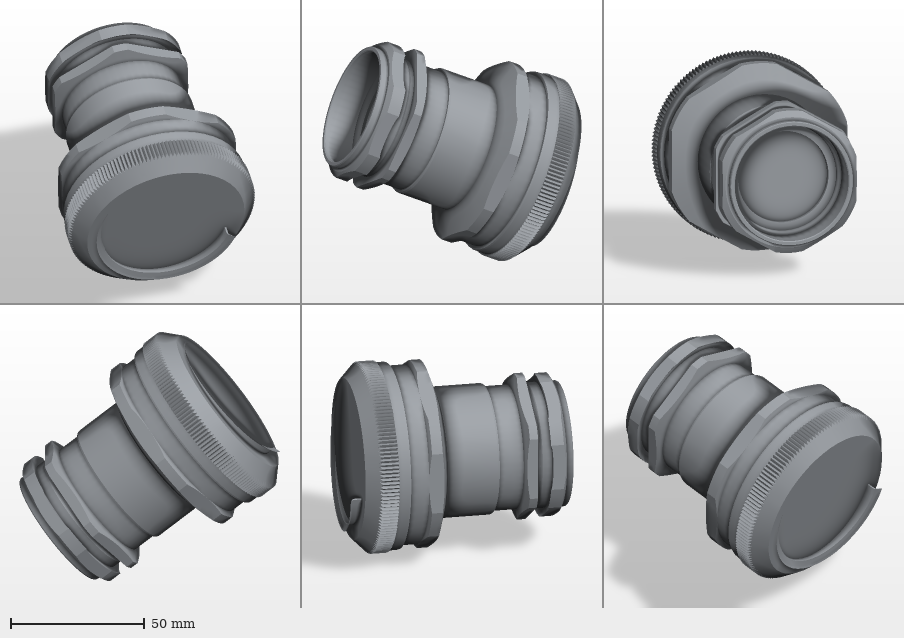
import cadquery as cq
import math


entry_dia = 47.5
entry_end = 11.8
mouth_edge = 0.4
entry_edge = 0.8
neck_dia = 46.6
neck_end = 14.1
tube_dia = 47.0
sleeve_start = 28.5
sleeve_edge = 0.7
sleeve_edge_height = 0.35
sleeve_dia = 49.6
sleeve_end = 48.5

small_flats = 51.7
front_nut_corner_dia = 54.7
front_nut_face_dia = 50.0
front_nut_start = 2.85
front_nut_bevel = 1.4
front_nut_end = 9.1
front_nut_dish = 0.9
dish_mid_rise = 0.3
dish_mid_dia = 53.3
lock_nut_corner_dia = 56.9
lock_nut_start = neck_end
lock_nut_bevel_start = 17.3
lock_nut_end = 19.1
large_flats = 67.8
large_corner_dia = 71.7
large_bevel_start = 52.5
large_bevel_end = 56.65
large_hex_end = 57.7

body_dia = large_flats
collar_start = 64.9
collar_edge = 0.6
collar_edge_height = 0.2
collar_dia = 71.0
knurl_start = 69.6
knurl_dia = 72.5
knurl_root_dia = 70.35
knurl_count = 150
knurl_phase = 0.5
cone_clearance = 0.9
cap_end = 81.5
cap_end_dia = 61.2

bore_dia = 44.0
mouth_bevel = 0.35
shoulder_depth = 11.9
shoulder_dia = 40.95
floor_depth = 14.0
recess_dia = 35.0
recess_depth = 16.55

total_length = 86.2
lip_wall_dia = 49.6
lip_wall = 0.7
lip_flare_dia = 54.3
lip_flare_height = 1.3
lip_kink_depth = 1.1
lip_bend_depth = 2.15
lip_foot_depth = 6.0
lip_pitch = 8.5
lip_end_angle = -18.5
lip_sweep_angle = 195.0


def turned(points):
    """Revolve an outline of (x, radius) points about the X axis."""
    return cq.Workplane("XY").polyline(points).close().revolve(360, (0, 0), (1, 0))


def hex_bar(flats, start, end):
    """Hexagonal bar along X with one pair of flats facing +Y and -Y."""
    corner_dia = flats / math.cos(math.pi / 6)
    bar = cq.Workplane("YZ").workplane(offset=start).polygon(6, corner_dia).extrude(end - start)
    return bar.rotate((0, 0, 0), (1, 0, 0), 30)


def make_barrel():
    entry_r = entry_dia / 2
    neck_r = neck_dia / 2
    tube_r = tube_dia / 2
    sleeve_r = sleeve_dia / 2
    body_r = body_dia / 2
    collar_r = collar_dia / 2
    return turned([
        (0, 0),
        (0, tube_r),
        (mouth_edge, entry_r),
        (entry_end, entry_r),
        (entry_end + entry_edge, neck_r),
        (neck_end, neck_r),
        (neck_end, tube_r),
        (sleeve_start, tube_r),
        (sleeve_start, sleeve_r - sleeve_edge_height),
        (sleeve_start + sleeve_edge, sleeve_r),
        (sleeve_end, sleeve_r),
        (large_hex_end, sleeve_r),
        (large_hex_end, body_r),
        (collar_start, body_r),
        (collar_start, collar_r - collar_edge_height),
        (collar_start + collar_edge, collar_r),
        (knurl_start, collar_r),
        (knurl_start, 0),
    ])


def make_front_nut():
    corner_r = front_nut_corner_dia / 2
    face_r = front_nut_face_dia / 2
    dish_floor = front_nut_end - front_nut_dish
    dish_mid = (dish_floor + dish_mid_rise, dish_mid_dia / 2)
    envelope = (
        cq.Workplane("XY")
        .moveTo(front_nut_start, 0)
        .lineTo(front_nut_start, face_r)
        .lineTo(front_nut_start + front_nut_bevel, corner_r)
        .lineTo(front_nut_end, corner_r)
        .threePointArc(dish_mid, (dish_floor, face_r))
        .lineTo(dish_floor, 0)
        .close()
        .revolve(360, (0, 0), (1, 0))
    )
    return hex_bar(small_flats, front_nut_start, front_nut_end).intersect(envelope)


def make_lock_nut():
    envelope = turned([
        (lock_nut_start, 0),
        (lock_nut_start, lock_nut_corner_dia / 2),
        (lock_nut_bevel_start, lock_nut_corner_dia / 2),
        (lock_nut_end, tube_dia / 2),
        (lock_nut_end, 0),
    ])
    return hex_bar(small_flats, lock_nut_start, lock_nut_end).intersect(envelope)


def make_large_hex():
    envelope = turned([
        (sleeve_end, 0),
        (sleeve_end, sleeve_dia / 2),
        (large_bevel_start, large_corner_dia / 2),
        (large_bevel_end, large_corner_dia / 2),
        (large_hex_end, body_dia / 2),
        (large_hex_end, 0),
    ])
    return hex_bar(large_flats, sleeve_end, large_hex_end).intersect(envelope)


def make_cap():
    """Knurled cap whose V grooves run out on its 45 degree end cone."""
    crest_r = knurl_dia / 2
    root_r = knurl_root_dia / 2
    end_r = cap_end_dia / 2
    half_pitch = math.pi / knurl_count
    points = []
    for step in range(2 * knurl_count):
        radius = crest_r if step % 2 == 0 else root_r
        angle = half_pitch * (step + knurl_phase)
        points.append((radius * math.cos(angle), radius * math.sin(angle)))
    length = cap_end - knurl_start
    toothed_bar = cq.Workplane("YZ").workplane(offset=knurl_start).polyline(points).close().extrude(length)
    clear_r = crest_r + cone_clearance
    envelope = turned([
        (knurl_start, 0),
        (knurl_start, clear_r),
        (cap_end - (clear_r - end_r), clear_r),
        (cap_end, end_r),
        (cap_end, 0),
    ])
    return toothed_bar.intersect(envelope)


def make_bore():
    bore_r = bore_dia / 2
    shoulder_r = shoulder_dia / 2
    rounding = bore_r - shoulder_r
    round_mid = (
        shoulder_depth + rounding * (1 - math.sqrt(0.5)),
        shoulder_r + rounding * (1 - math.sqrt(0.5)),
    )
    return (
        cq.Workplane("XY")
        .moveTo(0, 0)
        .lineTo(0, bore_r + mouth_bevel)
        .lineTo(mouth_bevel, bore_r)
        .lineTo(shoulder_depth, bore_r)
        .threePointArc(round_mid, (shoulder_depth + rounding, shoulder_r))
        .lineTo(floor_depth, shoulder_r)
        .lineTo(floor_depth, recess_dia / 2)
        .lineTo(recess_depth, recess_dia / 2)
        .lineTo(recess_depth, 0)
        .close()
        .revolve(360, (0, 0), (1, 0))
    )


def make_lip():
    """Flared wall swept down a helix, built about Z and then laid along X."""
    outer_r = lip_wall_dia / 2
    inner_r = outer_r - lip_wall
    flare_r = lip_flare_dia / 2
    rise = lip_pitch * lip_sweep_angle / 360
    helix = cq.Wire.makeHelix(lip_pitch, rise, outer_r)
    profile = (
        cq.Workplane("XZ")
        .moveTo(inner_r, -lip_foot_depth)
        .lineTo(inner_r, -lip_bend_depth)
        .lineTo(outer_r - lip_wall / 2, -lip_kink_depth)
        .lineTo(flare_r - lip_wall, -lip_wall / 2)
        .lineTo(flare_r, 0)
        .lineTo(outer_r, -lip_flare_height)
        .lineTo(outer_r, -lip_foot_depth)
        .close()
    )
    lip = profile.sweep(cq.Workplane(helix), isFrenet=True)
    lip = lip.rotate((0, 0, 0), (0, 0, 1), lip_end_angle - lip_sweep_angle)
    lip = lip.translate((0, 0, total_length - rise))
    return lip.rotate((0, 0, 0), (1, 1, 1), 120)


result = (
    make_barrel()
    .union(make_front_nut())
    .union(make_lock_nut())
    .union(make_large_hex())
    .union(make_cap())
    .union(make_lip())
    .cut(make_bore())
)